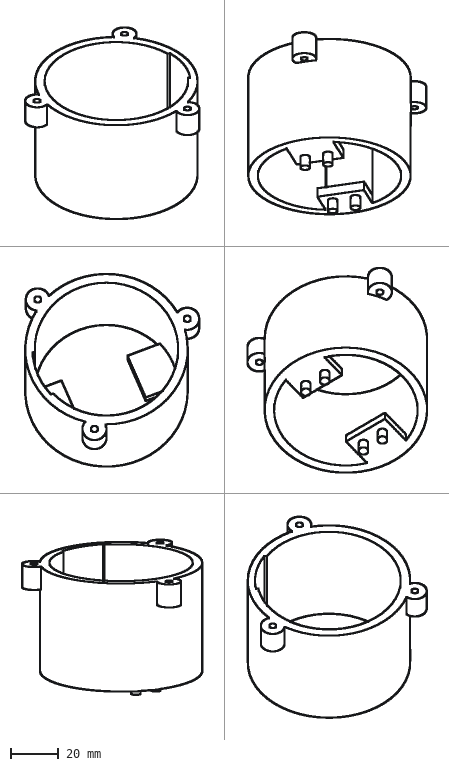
import cadquery as cq
import math

body_height = 46.8
outer_diameter = 68.0
bore_diameter = 60.0

lug_angles = (30, 150, 270)
lug_circle_radius = 36.45
lug_diameter = 10.05
lug_height = 10.0
lug_hole_diameter = 2.9

tab_width = 20.4
tab_thickness = 4.0
rear_tab_edge_y = 16.15
front_tab_edge_y = -13.6
recess_radius = 30.95

pin_diameter = 4.0
pin_length = 5.0
pin_spacing = 10.0
rear_pin_y = 21.2
front_pin_y = -18.8


def cylinder(diameter, height, bottom_z, x=0, y=0):
    """Vertical cylinder standing on bottom_z."""
    return cq.Workplane("XY", origin=(x, y, bottom_z)).circle(diameter / 2).extrude(height)


def strip(start_y, end_y, radius, height):
    """Block of tab width between two Y positions, trimmed to a cylinder."""
    block = (
        cq.Workplane("XY")
        .center(0, (start_y + end_y) / 2)
        .rect(tab_width, abs(end_y - start_y))
        .extrude(height)
    )
    return block.intersect(cylinder(2 * radius, height, 0))


outer_radius = outer_diameter / 2
lug_centres = [
    (
        lug_circle_radius * math.cos(math.radians(angle)),
        lug_circle_radius * math.sin(math.radians(angle)),
    )
    for angle in lug_angles
]

result = cylinder(outer_diameter, body_height, 0)
for x, y in lug_centres:
    result = result.union(cylinder(lug_diameter, lug_height, body_height - lug_height, x, y))
result = result.cut(cylinder(bore_diameter, body_height, 0))
for x, y in lug_centres:
    result = result.cut(cylinder(lug_hole_diameter, lug_height, body_height - lug_height, x, y))

result = result.cut(strip(rear_tab_edge_y, outer_radius, recess_radius, body_height))

for edge_y, wall_y in ((rear_tab_edge_y, outer_radius), (front_tab_edge_y, -outer_radius)):
    result = result.union(strip(edge_y, wall_y, outer_radius, tab_thickness))

for y in (rear_pin_y, front_pin_y):
    for x in (-pin_spacing / 2, pin_spacing / 2):
        result = result.union(cylinder(pin_diameter, pin_length, -pin_length, x, y))